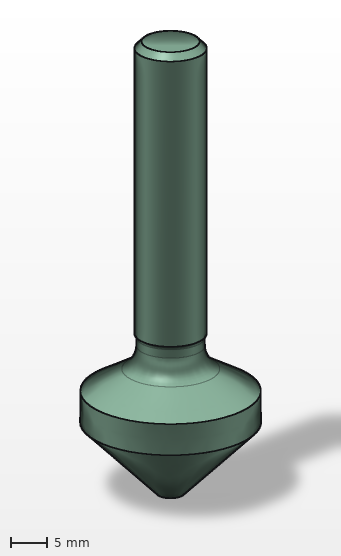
import cadquery as cq
import math

TOTAL_LENGTH = 67.0

SHANK_RADIUS = 5.0
SHANK_CHAMFER = 1.0

HEAD_RADIUS = 12.5
TIP_RADIUS = 1.9
POINT_HALF_ANGLE = math.radians(45)
RIM_HEIGHT = 4.6
RIM_TAPER = 0.05

SHOULDER_SLOPE = math.radians(30)
BLEND_RADIUS = 4.0

NECK_RADIUS = 4.75
NECK_LENGTH = 1.25
COVE_RADIUS = 0.6
COVE_ANGLE = math.radians(45)

RIM_BOTTOM = (HEAD_RADIUS - TIP_RADIUS) / math.tan(POINT_HALF_ANGLE)
RIM_TOP = RIM_BOTTOM + RIM_HEIGHT
RIM_TOP_RADIUS = HEAD_RADIUS - RIM_TAPER
BLEND_ANGLE = math.pi / 2 - SHOULDER_SLOPE
BLEND_START_RADIUS = NECK_RADIUS + BLEND_RADIUS * (1 - math.cos(BLEND_ANGLE))
BLEND_START = RIM_TOP + (RIM_TOP_RADIUS - BLEND_START_RADIUS) * math.tan(SHOULDER_SLOPE)
NECK_BOTTOM = BLEND_START + BLEND_RADIUS * math.sin(BLEND_ANGLE)
NECK_TOP = NECK_BOTTOM + NECK_LENGTH
COVE_TOP_RADIUS = NECK_RADIUS + COVE_RADIUS * (1 - math.cos(COVE_ANGLE))
COVE_TOP = NECK_TOP + COVE_RADIUS * math.sin(COVE_ANGLE)
SHANK_BOTTOM = COVE_TOP + (SHANK_RADIUS - COVE_TOP_RADIUS) / math.tan(COVE_ANGLE)


def neck_arc_point(arc_radius, angle, tangent_level):
    """Point on a concave arc that leaves the neck tangentially at tangent_level.

    A positive angle runs up from that level and a negative one runs down.
    """
    radius = NECK_RADIUS + arc_radius * (1 - math.cos(angle))
    level = tangent_level + arc_radius * math.sin(angle)
    return (radius, level)


def half_profile():
    """Closed half section as (radius, level), from the tip up to the shank end."""
    blend_middle = neck_arc_point(BLEND_RADIUS, -BLEND_ANGLE / 2, NECK_BOTTOM)
    cove_middle = neck_arc_point(COVE_RADIUS, COVE_ANGLE / 2, NECK_TOP)
    return (
        cq.Workplane("YZ")
        .moveTo(0, 0)
        .lineTo(TIP_RADIUS, 0)
        .lineTo(HEAD_RADIUS, RIM_BOTTOM)
        .lineTo(RIM_TOP_RADIUS, RIM_TOP)
        .lineTo(BLEND_START_RADIUS, BLEND_START)
        .threePointArc(blend_middle, (NECK_RADIUS, NECK_BOTTOM))
        .lineTo(NECK_RADIUS, NECK_TOP)
        .threePointArc(cove_middle, (COVE_TOP_RADIUS, COVE_TOP))
        .lineTo(SHANK_RADIUS, SHANK_BOTTOM)
        .lineTo(SHANK_RADIUS, TOTAL_LENGTH - SHANK_CHAMFER)
        .lineTo(SHANK_RADIUS - SHANK_CHAMFER, TOTAL_LENGTH)
        .lineTo(0, TOTAL_LENGTH)
        .close()
    )


result = half_profile().revolve(360, (0, 0), (0, 1))